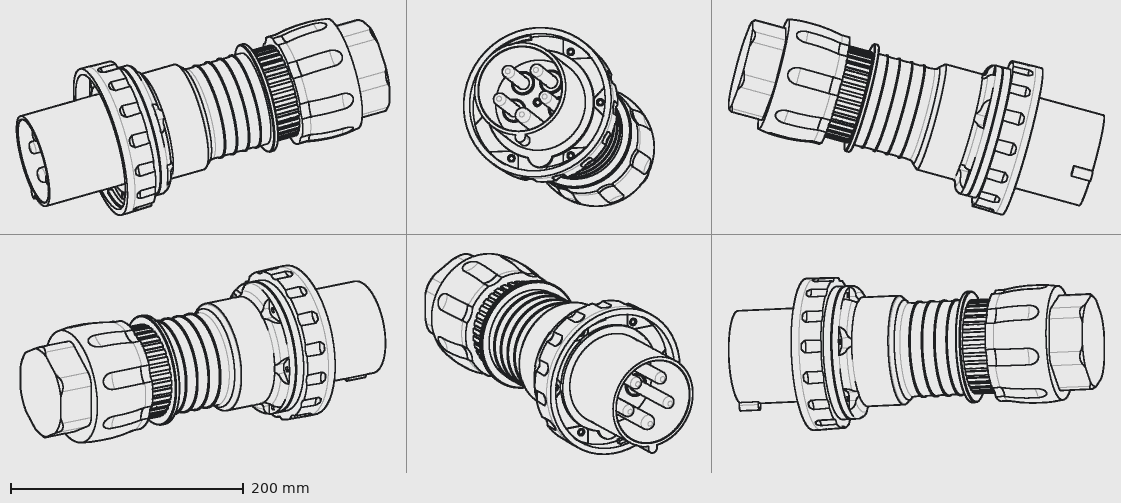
import cadquery as cq
import math


LENGTH = 313.4
SOCKET_DEPTH = 62.0
RING_FRONT = 62.0
HUB_FACE = 71.0
ANNULUS_FACE = 74.0
RING_BACK = 88.3
SEAM_Y = 95.6
SHOULDER_Y = 102.0
DOME_Y = 107.5
BODY_FRONT = 111.0
BODY_BACK = 143.2
FLANGE_FRONT = 203.2
FLANGE_BACK = 207.4
NUT_FRONT = 229.6
NUT_BACK = 284.0

SLEEVE_R = 40.3
BORE_R = 36.9
BORE_CHAMFER = 0.4
KEY_HALF_WIDTH = 4.3
KEY_REACH = 46.6
KEY_LENGTH = 17.0

PIN_COUNT = 5
PIN_CIRCLE_R = 21.2
PIN_TIP_Y = 5.0
PIN_R = 5.4
EARTH_PIN_R = 6.5
PIN_TIP_R = 2.2
EARTH_ANGLE = -90.0
COLLAR_R = 9.9
COLLAR_BORE_R = 8.9
COLLAR_HEIGHT = 2.0
CENTRE_HOLE_R = 3.5
CENTRE_HOLE_DEPTH = 4.0
CENTRE_SCREW_R = 2.2
CENTRE_SCREW_HEIGHT = 3.0

RING_R = 65.34
RING_BACK_R = 64.8
RING_BORE_R = 60.0
RIM_Y = 68.7
GRIP_COUNT = 15
GRIP_ANGLE = 91.6
GRIP_HALF_WIDTH = 5.3
GRIP_DEPTH = 1.9
GRIP_END_Y = 74.4
GRIP_TAPER = 3.4
RAMP_START = 97.0
RAMP_SWEEP = 47.0
RAMP_HEIGHT = 3.2
RAMP_FOOT_HEIGHT = 1.2
RAMP_ROOT = 1.0
RAMP_FRONT = 66.0
RAMP_BACK = 70.0

HUB_R = 47.4
KEYWAY_BOSS_R = 11.0
KEYWAY_BOSS_Z = -44.0
SHOULDER_R = 57.3
SEAM_WIDTH = 0.8
SEAM_DEPTH = 0.4
SCREW_CIRCLE_R = 52.4
SCREW_HOLE_R = 2.0
SCREW_COUNTERBORE_R = 3.1
SCREW_COUNTERBORE_DEPTH = 0.8
POCKET_CORNER_R = 6.3
POCKET_REACH = 30.0
FRONT_POCKET_DEPTH = 0.8
SCREWS = [(0, 0), (60, 45), (120, 135), (180, 180), (240, 225), (300, 315)]

BODY_R = 47.0
NECK_R = 40.6
NECK_DIP = 0.4
NECK_FRONT = 151.9
RIB_R = 41.4
RIB_WIDTH = 0.9
RIBS_Y = [160.8, 171.8, 182.9, 193.7]
FLANGE_R = 47.8
FLANGE_CHAMFER = 0.7

TOOTH_R = 40.4
TOOTH_GAPS = 36
TOOTH_GAP_WIDTH = 2.9
TOOTH_DEPTH = 1.2

NUT_MAX_R = 50.8
NUT_MAX_Y = 263.5
NUT_LAND_R = 47.9
NUT_LAND_Y = 236.8
NUT_LAND_DROP = NUT_MAX_R - NUT_LAND_R
BARREL_ARC_R = ((NUT_MAX_Y - NUT_LAND_Y) ** 2 + NUT_LAND_DROP**2) / (2 * NUT_LAND_DROP)
FLUTE_COUNT = 8
FLUTE_ANGLE = 22.5
FLUTE_END_Y = 267.5
FLUTE_HALF_WIDTH = 8.4
FLUTE_DEPTH = 2.0
FLUTE_NOSE_LENGTH = 25.0
FLUTE_OVERLAP = 1.0

HEX_HALF_FLATS = 37.5
HEX_CORNER_R = 12.0
HEX_END_R = 38.8
HEX_SLOPE = 1.0


def cylinder(radius, start, end, x=0.0, z=0.0):
    """Cylinder along Y between two stations."""
    plane = cq.Workplane("XZ", origin=(x, start, z))
    return plane.circle(radius).extrude(start - end)


def revolved(profile):
    """Closed (radius, Y) outline turned about the Y axis."""
    return profile.close().revolve(360, (0, 0, 0), (0, 1, 0))


def around(shape, angle):
    """Turn a shape made on the +X side to an angle about the Y axis."""
    return shape.rotate((0, 0, 0), (0, 1, 0), -angle)


def polar(radius, angle):
    """X and Z of a point at a radius and angle."""
    turn = math.radians(angle)
    return radius * math.cos(turn), radius * math.sin(turn)


def scallop_radius(half_width, depth):
    """Radius of a round cutter leaving the given half width and depth."""
    return (half_width**2 + depth**2) / (2 * depth)


def make_shell():
    """Turned body from the solid sleeve to the neck flange."""
    profile = (
        cq.Workplane("XY")
        .moveTo(0, 0)
        .lineTo(SLEEVE_R, 0)
        .lineTo(SLEEVE_R, HUB_FACE)
        .lineTo(HUB_R, HUB_FACE)
        .lineTo(HUB_R, ANNULUS_FACE)
        .lineTo(RING_BORE_R, ANNULUS_FACE)
        .lineTo(RING_BORE_R, RING_BACK)
        .lineTo(SHOULDER_R, RING_BACK)
        .lineTo(SHOULDER_R, SEAM_Y - SEAM_WIDTH / 2)
        .lineTo(SHOULDER_R - SEAM_DEPTH, SEAM_Y - SEAM_WIDTH / 2)
        .lineTo(SHOULDER_R - SEAM_DEPTH, SEAM_Y + SEAM_WIDTH / 2)
        .lineTo(SHOULDER_R, SEAM_Y + SEAM_WIDTH / 2)
        .lineTo(SHOULDER_R, SHOULDER_Y)
        .threePointArc((55.4, 105.3), (51.5, DOME_Y))
        .threePointArc((48.3, 108.8), (BODY_R, BODY_FRONT))
        .lineTo(BODY_R, BODY_BACK)
        .lineTo(46.2, 143.9)
        .lineTo(43.0, 147.7)
        .threePointArc((41.0, 149.6), (NECK_R, NECK_FRONT))
    )
    valley_start = NECK_FRONT
    for rib_y in RIBS_Y:
        rib_front = rib_y - RIB_WIDTH / 2
        rib_back = rib_y + RIB_WIDTH / 2
        middle = (valley_start + rib_front) / 2
        profile = (
            profile.threePointArc((NECK_R - NECK_DIP, middle), (NECK_R, rib_front))
            .lineTo(RIB_R, rib_front)
            .lineTo(RIB_R, rib_back)
            .lineTo(NECK_R, rib_back)
        )
        valley_start = rib_back
    profile = (
        profile.lineTo(NECK_R, FLANGE_FRONT)
        .lineTo(FLANGE_R - FLANGE_CHAMFER, FLANGE_FRONT)
        .lineTo(FLANGE_R, FLANGE_FRONT + FLANGE_CHAMFER)
        .lineTo(FLANGE_R, FLANGE_BACK - FLANGE_CHAMFER)
        .lineTo(FLANGE_R - FLANGE_CHAMFER, FLANGE_BACK)
        .lineTo(0, FLANGE_BACK)
    )
    return revolved(profile)


def make_keyway_boss():
    """Raised round lobe on the annulus behind the key."""
    return cylinder(KEYWAY_BOSS_R, HUB_FACE, ANNULUS_FACE, z=KEYWAY_BOSS_Z)


def make_ring():
    """Coupling ring with tapered grip band and plain rim."""
    profile = (
        cq.Workplane("XY")
        .moveTo(RING_BORE_R, RING_FRONT)
        .lineTo(RING_R, RING_FRONT)
        .lineTo(RING_R, RIM_Y)
        .lineTo(RING_BACK_R, RING_BACK)
        .lineTo(RING_BORE_R, RING_BACK)
    )
    ring = revolved(profile)
    grip = make_grip_cutter()
    for i in range(GRIP_COUNT):
        ring = ring.cut(around(grip, GRIP_ANGLE + i * 360 / GRIP_COUNT))
    return ring


def make_ramp():
    """Bayonet ledge inside the ring, rising along its sweep between square ends."""
    mean_height = (RAMP_HEIGHT + RAMP_FOOT_HEIGHT) / 2
    crest = polar(RING_BORE_R - RAMP_HEIGHT, RAMP_START)
    middle = polar(RING_BORE_R - mean_height, RAMP_START + RAMP_SWEEP / 2)
    foot = polar(RING_BORE_R - RAMP_FOOT_HEIGHT, RAMP_START + RAMP_SWEEP)
    root_start = polar(RING_BORE_R + RAMP_ROOT, RAMP_START)
    root_middle = polar(RING_BORE_R + RAMP_ROOT, RAMP_START + RAMP_SWEEP / 2)
    root_end = polar(RING_BORE_R + RAMP_ROOT, RAMP_START + RAMP_SWEEP)
    return (
        cq.Workplane("XZ", origin=(0, RAMP_FRONT, 0))
        .moveTo(*crest)
        .threePointArc(middle, foot)
        .lineTo(*root_end)
        .threePointArc(root_middle, root_start)
        .close()
        .extrude(RAMP_FRONT - RAMP_BACK)
    )


def make_grip_cutter():
    """Round-bottomed grip slot with a tapered blind end, on the +X side."""
    radius = scallop_radius(GRIP_HALF_WIDTH, GRIP_DEPTH)
    axis_r = RING_BACK_R - GRIP_DEPTH + radius
    small_r = radius - GRIP_DEPTH
    profile = (
        cq.Workplane("XY")
        .moveTo(0, GRIP_END_Y - GRIP_TAPER)
        .lineTo(small_r, GRIP_END_Y - GRIP_TAPER)
        .lineTo(radius, GRIP_END_Y)
        .lineTo(radius, RING_BACK)
        .lineTo(0, RING_BACK)
    )
    return revolved(profile).translate((axis_r, 0, 0))


def make_screw_pocket(angle, opening, start, end):
    """Right-angled pocket with a round corner about one screw axis."""
    x, z = polar(SCREW_CIRCLE_R, angle)
    apex = -POCKET_CORNER_R * math.sqrt(2)
    spread = POCKET_REACH
    wedge = (
        cq.Workplane("XZ", origin=(0, start, 0))
        .polyline([(apex, 0), (apex + spread, -spread), (apex + spread, spread)])
        .close()
        .extrude(start - end)
        .edges("|Y and <X")
        .fillet(POCKET_CORNER_R)
    )
    return around(wedge, opening).translate((x, 0, z))


def cut_screws(body):
    """Front and rear pockets with a counterbored through hole at each screw."""
    recess_floor = ANNULUS_FACE + FRONT_POCKET_DEPTH
    hub = cylinder(HUB_R, ANNULUS_FACE, recess_floor)
    for angle, opening in SCREWS:
        x, z = polar(SCREW_CIRCLE_R, angle)
        front = make_screw_pocket(angle, opening, ANNULUS_FACE, recess_floor)
        body = body.cut(front.cut(hub))
        body = body.cut(make_screw_pocket(angle, opening, SHOULDER_Y, BODY_FRONT))
        body = body.cut(cylinder(SCREW_HOLE_R, RING_FRONT, BODY_FRONT, x, z))
        bore_end = recess_floor + SCREW_COUNTERBORE_DEPTH
        body = body.cut(cylinder(SCREW_COUNTERBORE_R, RING_FRONT, bore_end, x, z))
    return body


def cut_socket(body):
    """Bore of the sleeve with a small lead-in chamfer."""
    profile = (
        cq.Workplane("XY")
        .moveTo(0, 0)
        .lineTo(BORE_R + BORE_CHAMFER, 0)
        .lineTo(BORE_R, BORE_CHAMFER)
        .lineTo(BORE_R, SOCKET_DEPTH)
        .lineTo(0, SOCKET_DEPTH)
    )
    return body.cut(revolved(profile))


def make_key():
    """Round-edged polarising key below the sleeve tip."""
    top = -(BORE_R + SLEEVE_R) / 2
    tip_centre = -KEY_REACH + KEY_HALF_WIDTH
    return (
        cq.Workplane("XZ")
        .moveTo(-KEY_HALF_WIDTH, top)
        .lineTo(-KEY_HALF_WIDTH, tip_centre)
        .threePointArc((0, -KEY_REACH), (KEY_HALF_WIDTH, tip_centre))
        .lineTo(KEY_HALF_WIDTH, top)
        .close()
        .extrude(-KEY_LENGTH)
    )


def make_pin(radius):
    """Round-nosed contact pin standing on the socket floor, on the axis."""
    nose = radius - PIN_TIP_R
    bend = nose * math.sqrt(0.5)
    profile = (
        cq.Workplane("XY")
        .moveTo(0, PIN_TIP_Y)
        .lineTo(PIN_TIP_R, PIN_TIP_Y)
        .threePointArc((PIN_TIP_R + bend, PIN_TIP_Y + nose - bend), (radius, PIN_TIP_Y + nose))
        .lineTo(radius, SOCKET_DEPTH)
        .lineTo(0, SOCKET_DEPTH)
    )
    return revolved(profile)


def add_contacts(body):
    """Five pins, collars around the four live ones, and the central screw."""
    for i in range(PIN_COUNT):
        x, z = polar(PIN_CIRCLE_R, EARTH_ANGLE + i * 360 / PIN_COUNT)
        is_earth = i == 0
        pin = make_pin(EARTH_PIN_R if is_earth else PIN_R)
        body = body.union(pin.translate((x, 0, z)))
        if not is_earth:
            collar_front = SOCKET_DEPTH - COLLAR_HEIGHT
            collar = cylinder(COLLAR_R, collar_front, SOCKET_DEPTH, x, z)
            collar = collar.cut(cylinder(COLLAR_BORE_R, collar_front, SOCKET_DEPTH, x, z))
            body = body.union(collar)
    hole_floor = SOCKET_DEPTH + CENTRE_HOLE_DEPTH
    body = body.cut(cylinder(CENTRE_HOLE_R, SOCKET_DEPTH, hole_floor))
    return body.union(cylinder(CENTRE_SCREW_R, hole_floor - CENTRE_SCREW_HEIGHT, hole_floor))


def make_toothed_neck():
    """Neck between flange and gland nut, with gaps between its teeth."""
    neck = cylinder(TOOTH_R, FLANGE_BACK, NUT_FRONT)
    length = NUT_FRONT - FLANGE_BACK
    gap = cq.Workplane("XY").box(2 * TOOTH_DEPTH, length, TOOTH_GAP_WIDTH)
    gap = gap.translate((TOOTH_R, FLANGE_BACK + length / 2, 0))
    for i in range(TOOTH_GAPS):
        neck = neck.cut(around(gap, i * 360 / TOOTH_GAPS))
    return neck


def barrel_point(angle):
    """Radius and Y on the barrel arc, by angle from its widest place."""
    turn = math.radians(angle)
    return (
        NUT_MAX_R - BARREL_ARC_R * (1 - math.cos(turn)),
        NUT_MAX_Y + BARREL_ARC_R * math.sin(turn),
    )


def barrel_angle(y):
    """Angle on the barrel arc at a station along the axis."""
    return math.degrees(math.asin((y - NUT_MAX_Y) / BARREL_ARC_R))


def make_flute_cutter():
    """Parts of a round cutter following the nut outline, on the +X side."""
    radius = scallop_radius(FLUTE_HALF_WIDTH, FLUTE_DEPTH)
    lift = radius - FLUTE_DEPTH
    axis_r = NUT_MAX_R + lift
    arc_centre_r = NUT_MAX_R - BARREL_ARC_R
    end_angle = barrel_angle(FLUTE_END_Y)
    sweep = end_angle - barrel_angle(NUT_LAND_Y)
    to_centre = arc_centre_r - axis_r
    curved = (
        cq.Workplane("XZ", origin=(axis_r, NUT_MAX_Y, 0))
        .circle(radius)
        .revolve(sweep, (to_centre, 1, 0), (to_centre, 0, 0))
    )
    nose_arc_r = scallop_radius(FLUTE_NOSE_LENGTH, radius)
    half_turn = math.asin(FLUTE_NOSE_LENGTH / nose_arc_r) / 2
    nose_middle = (
        radius - nose_arc_r * (1 - math.cos(half_turn)),
        nose_arc_r * math.sin(half_turn),
    )
    nose = revolved(
        cq.Workplane("XY")
        .lineTo(radius, 0)
        .threePointArc(nose_middle, (0, FLUTE_NOSE_LENGTH))
    ).translate((axis_r, NUT_MAX_Y, 0))
    pivot = (arc_centre_r, NUT_MAX_Y, 0)
    pivot_end = (arc_centre_r, NUT_MAX_Y, 1)
    straight_end = NUT_LAND_Y + FLUTE_OVERLAP
    return [
        curved.rotate(pivot, pivot_end, end_angle),
        nose.rotate(pivot, pivot_end, end_angle),
        cylinder(radius, NUT_FRONT, straight_end, x=NUT_LAND_R + lift),
    ]


def make_nut():
    """Barrel-shaped gland nut with grip flutes that run out at its front face."""
    profile = (
        cq.Workplane("XY")
        .moveTo(0, NUT_FRONT)
        .lineTo(NUT_LAND_R, NUT_FRONT)
        .lineTo(NUT_LAND_R, NUT_LAND_Y)
        .threePointArc((NUT_MAX_R, NUT_MAX_Y), barrel_point(barrel_angle(NUT_BACK)))
        .lineTo(0, NUT_BACK)
    )
    nut = revolved(profile)
    flute_parts = make_flute_cutter()
    for i in range(FLUTE_COUNT):
        for part in flute_parts:
            nut = nut.cut(around(part, FLUTE_ANGLE + i * 360 / FLUTE_COUNT))
    return nut


def make_hex_end():
    """Round-cornered hexagon with flats facing X and a turned end chamfer."""
    corner_diameter = 2 * HEX_HALF_FLATS / math.cos(math.radians(30))
    hexagon = (
        cq.Workplane("XZ", origin=(0, NUT_BACK, 0))
        .polygon(6, corner_diameter)
        .extrude(NUT_BACK - LENGTH)
        .edges("|Y")
        .fillet(HEX_CORNER_R)
    )
    outside_r = 2 * HEX_HALF_FLATS
    overshoot = outside_r - HEX_END_R
    profile = (
        cq.Workplane("XY")
        .moveTo(HEX_END_R, LENGTH)
        .lineTo(outside_r, LENGTH)
        .lineTo(outside_r, LENGTH - overshoot * HEX_SLOPE)
    )
    return around(hexagon, 30).cut(revolved(profile))


hub = cut_screws(cut_socket(make_shell().union(make_keyway_boss())))
ramp = make_ramp()
result = (
    add_contacts(hub)
    .union(make_key())
    .union(make_ring())
    .union(ramp)
    .union(around(ramp, 180))
    .union(make_toothed_neck())
    .union(make_nut())
    .union(make_hex_end())
)